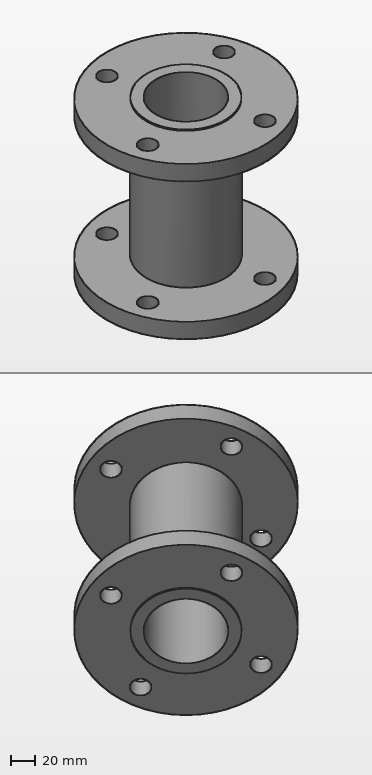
import cadquery as cq

total_height = 182.0
flange_diameter = 185.0
flange_thickness = 18.0
raised_face_height = 1.5
raised_face_diameter = 92.0

pipe_diameter = 93.2
bore_diameter = 70.0
pipe_end_fillet = 3.0

bolt_count = 4
bolt_circle_diameter = 145.0
bolt_hole_diameter = 18.0
bolt_start_angle = 45

end_level = total_height / 2
flange_outer_level = end_level - raised_face_height
flange_inner_level = flange_outer_level - flange_thickness


def pipe():
    """Solid pipe body between the flanges, with rounded end edges."""
    pipe_length = 2 * flange_inner_level
    body = cq.Workplane("XY").circle(pipe_diameter / 2).extrude(pipe_length)
    return body.edges("%CIRCLE").fillet(pipe_end_fillet).translate((0, 0, -flange_inner_level))


def disc(diameter, bottom_level, height):
    """Solid disc on the Z axis."""
    return cq.Workplane("XY").workplane(offset=bottom_level).circle(diameter / 2).extrude(height)


def upper_flange():
    """Upper flange with the raised sealing face on its outer side."""
    plate = disc(flange_diameter, flange_inner_level, flange_thickness)
    raised_face = disc(raised_face_diameter, flange_outer_level, raised_face_height)
    return plate.union(raised_face)


def bore():
    """Straight bore through the whole part."""
    return disc(bore_diameter, -end_level, total_height)


def bolt_holes():
    """Cylinders along Z that pierce both flanges."""
    return (
        cq.Workplane("XY")
        .polarArray(bolt_circle_diameter / 2, bolt_start_angle, 360, bolt_count)
        .circle(bolt_hole_diameter / 2)
        .extrude(end_level, both=True)
    )


flange = upper_flange()
flanged_pipe = pipe().union(flange).union(flange.mirror("XY"))
result = flanged_pipe.cut(bore()).cut(bolt_holes())